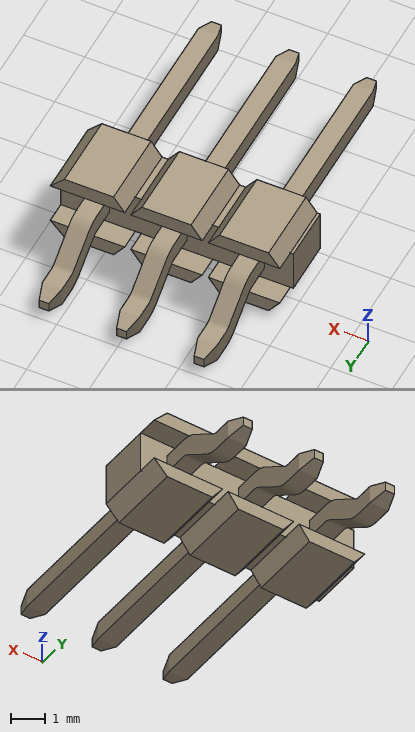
import cadquery as cq
import math


pin_count = 3
pitch = 2.54
housing_width = pin_count * pitch
housing_height = 2.5
housing_depth = 2.5
core_depth = 1.79
wing_thickness = 0.51
module_top_width = 1.61
module_base_width = 2.35

pin_size = 0.64
tip_size = pin_size / 2
tip_length = 0.55
front_length = 6.0
tail_length = 5.5
crank_start = 2.62
crank_angle = math.radians(35)
inner_bend_radius = 0.35

foot_drop = (housing_height - pin_size) / 2
half_height = housing_height / 2
core_half_height = half_height - wing_thickness
pin_positions = [(i - (pin_count - 1) / 2) * pitch for i in range(pin_count)]


def extrude_back(outline, depth):
    """Extrude an outline drawn in X and Z from the front face towards +Y."""
    return outline.extrude(-depth)


def make_core():
    outline = cq.Workplane("XZ").rect(housing_width, 2 * core_half_height)
    return extrude_back(outline, core_depth)


def make_wing(x, side):
    """One bevelled bar above (side = 1) or below (side = -1) the core."""
    base_left = x - module_base_width / 2
    base_right = x + module_base_width / 2
    if x == pin_positions[-1]:
        base_right = housing_width / 2
    inner_z = side * core_half_height
    outer_z = side * half_height
    outline = cq.Workplane("XZ").polyline([
        (base_left, inner_z),
        (base_right, inner_z),
        (x + module_top_width / 2, outer_z),
        (x - module_top_width / 2, outer_z),
    ]).close()
    return extrude_back(outline, housing_depth)


def make_shank():
    """Square bar following the crank, without its two tapered tips."""
    radius = inner_bend_radius + pin_size / 2
    bend_run = radius * math.sin(crank_angle)
    bend_drop = radius * (1 - math.cos(crank_angle))
    slope_drop = foot_drop - 2 * bend_drop
    slope_run = slope_drop / math.tan(crank_angle)
    slope_start = crank_start + bend_run
    slope_end = slope_start + slope_run
    path = (
        cq.Workplane("YZ")
        .moveTo(tip_length - front_length, 0)
        .lineTo(crank_start, 0)
        .tangentArcPoint((slope_start, -bend_drop), relative=False)
        .lineTo(slope_end, bend_drop - foot_drop)
        .tangentArcPoint((slope_end + bend_run, -foot_drop), relative=False)
        .lineTo(tail_length - tip_length, -foot_drop)
    )
    section = cq.Workplane("XZ", origin=(0, tip_length - front_length, 0)).rect(pin_size, pin_size)
    return section.sweep(path)


def make_tip(y, z, direction):
    """Tapered tip starting at y and pointing along +Y (direction = 1) or -Y (direction = -1)."""
    plane = cq.Plane(origin=(0, y, z), xDir=(1, 0, 0), normal=(0, direction, 0))
    return (
        cq.Workplane(plane)
        .rect(pin_size, pin_size)
        .workplane(offset=tip_length)
        .rect(tip_size, tip_size)
        .loft(ruled=True)
    )


def make_pin():
    front_tip = make_tip(tip_length - front_length, 0, -1)
    tail_tip = make_tip(tail_length - tip_length, -foot_drop, 1)
    return make_shank().union(front_tip).union(tail_tip)


result = make_core()
pin = make_pin()
for pin_x in pin_positions:
    for wing_side in (1, -1):
        result = result.union(make_wing(pin_x, wing_side))
    result = result.union(pin.translate((pin_x, 0, 0)))